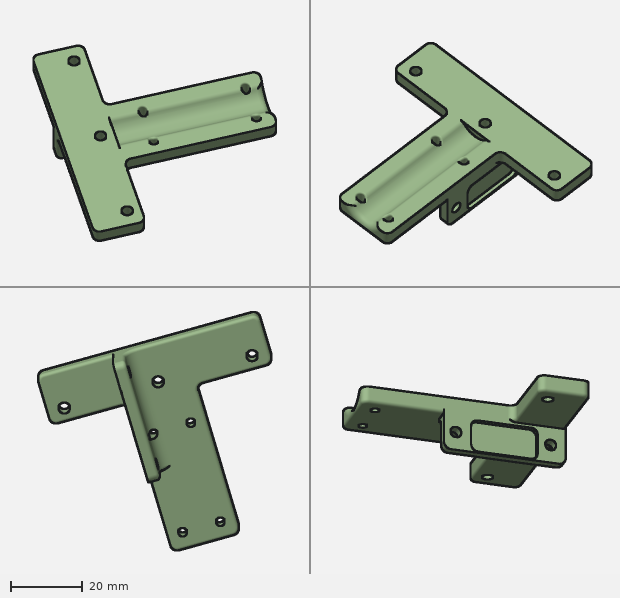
import cadquery as cq
import math

bar_length = 65.0
bar_depth = 15.0
total_depth = 60.0
stem_width = 20.0
plate_thickness = 5.0
corner_radius = 2.0
edge_round = 1.0

total_height = 16.0
flange_length = 36.0
flange_thickness = 3.5
cove_radius = 3.5
flange_left = -stem_width / 2
flange_right = flange_left + flange_thickness
flange_mid_z = -(plate_thickness + total_height) / 2

mount_hole_diameter = 3.2
bar_hole_end_distance = 5.0
bar_hole_x = bar_length / 2 - bar_hole_end_distance
bar_hole_y = 11.0
flange_hole_ys = (4.5, 32.5)

clamp_hole_diameter = 2.5
clamp_hole_x = 5.5
clamp_hole_ys = (24.95, 55.0)
clamp_hole_round = 0.5

pocket_depth = 1.5
pocket_length = 19.7
pocket_height = 9.6
pocket_center_y = 18.15
pocket_center_z = -10.8

tube_radius = 6.0
channel_depth = 2.35
lip_radius = 2.0
flare_radius = 2.0
tube_axis_z = tube_radius - channel_depth

half_diagonal = math.sqrt(0.5)


def make_plate():
    """T-shaped plate with rounded corners and a rounded bottom rim."""
    half_bar = bar_length / 2
    half_stem = stem_width / 2
    outline = [
        (-half_bar, 0),
        (half_bar, 0),
        (half_bar, bar_depth),
        (half_stem, bar_depth),
        (half_stem, total_depth),
        (-half_stem, total_depth),
        (-half_stem, bar_depth),
        (-half_bar, bar_depth),
    ]
    plate = cq.Workplane("XY").polyline(outline).close().extrude(-plate_thickness)
    plate = plate.edges("|Z").fillet(corner_radius)
    return plate.faces("<Z").edges().fillet(edge_round)


def make_flange():
    """Flange with a cove into the plate; its right-hand edges are rounded along the cove too."""
    cove_end = flange_right + cove_radius
    cove_middle = (
        cove_end - cove_radius * half_diagonal,
        -plate_thickness - cove_radius * (1 - half_diagonal),
    )
    flange = (
        cq.Workplane("XZ")
        .moveTo(flange_left, 0)
        .lineTo(flange_left, -total_height)
        .lineTo(flange_right, -total_height)
        .lineTo(flange_right, -plate_thickness - cove_radius)
        .threePointArc(cove_middle, (cove_end, -plate_thickness))
        .lineTo(0, -plate_thickness)
        .lineTo(0, 0)
        .close()
        .extrude(-flange_length)
    )
    flange = flange.faces("<Z").edges("|X").fillet(corner_radius)
    right_face = cq.selectors.NearestToPointSelector((flange_right, flange_length / 2, flange_mid_z))
    return flange.faces(right_face).edges("not |Y").fillet(edge_round)


def make_channel():
    """Solid to remove for the tube: round bottom, convex lips and a flared open end."""
    center_distance = tube_radius + lip_radius
    slope = math.acos((tube_axis_z + lip_radius) / center_distance)
    lip_x = center_distance * math.sin(slope)
    lip_middle_x = lip_x - lip_radius * math.sin(slope / 2)
    lip_middle_z = lip_radius * (math.cos(slope / 2) - 1)
    tangent_x = tube_radius * math.sin(slope)
    tangent_z = tube_axis_z - tube_radius * math.cos(slope)
    groove = (
        cq.Workplane("XZ", origin=(0, bar_depth, 0))
        .moveTo(-lip_x, 0)
        .threePointArc((-lip_middle_x, lip_middle_z), (-tangent_x, tangent_z))
        .threePointArc((0, -channel_depth), (tangent_x, tangent_z))
        .threePointArc((lip_middle_x, lip_middle_z), (lip_x, 0))
        .close()
        .extrude(bar_depth - total_depth)
    )
    flare_start = total_depth - flare_radius
    flare_end_radius = tube_radius + flare_radius
    flare_middle = (
        flare_end_radius - flare_radius * half_diagonal,
        flare_start + flare_radius * half_diagonal,
    )
    flare = (
        cq.Workplane("XY", origin=(0, 0, tube_axis_z))
        .moveTo(0, flare_start)
        .lineTo(tube_radius, flare_start)
        .threePointArc(flare_middle, (flare_end_radius, total_depth))
        .lineTo(0, total_depth)
        .close()
        .revolve(360, (0, 0, 0), (0, 1, 0))
    )
    return groove.union(flare)


def drill_clamp_hole(body, x, y):
    """Hole on a channel lip with a rounded mouth, drilled through the plate and the cove."""
    drill = (
        cq.Workplane("XY", origin=(x, y, 0))
        .circle(clamp_hole_diameter / 2)
        .extrude(-plate_thickness - cove_radius)
    )
    reach = clamp_hole_diameter / 2 + clamp_hole_round
    mouth = cq.selectors.BoxSelector(
        (x - reach, y - reach, -plate_thickness / 2),
        (x + reach, y + reach, plate_thickness / 2),
        boundingbox=True,
    )
    return body.cut(drill).edges(mouth).fillet(clamp_hole_round)


def make_bar_holes():
    """Three through holes along the crossbar."""
    return (
        cq.Workplane("XY")
        .pushPoints([(x, bar_hole_y) for x in (-bar_hole_x, 0, bar_hole_x)])
        .circle(mount_hole_diameter / 2)
        .extrude(-plate_thickness)
    )


def make_flange_holes():
    """Two holes through the flange, halfway down its free height."""
    return (
        cq.Workplane("YZ", origin=(flange_left, 0, 0))
        .pushPoints([(y, flange_mid_z) for y in flange_hole_ys])
        .circle(mount_hole_diameter / 2)
        .extrude(flange_thickness + cove_radius)
    )


def make_pocket():
    """Rounded rectangular recess in the left face of the flange."""
    return (
        cq.Workplane("YZ", origin=(flange_left, pocket_center_y, pocket_center_z))
        .rect(pocket_length, pocket_height)
        .extrude(pocket_depth)
        .edges("|X")
        .fillet(corner_radius)
    )


result = make_plate().union(make_flange()).cut(make_channel())
for side in (-1, 1):
    for hole_y in clamp_hole_ys:
        result = drill_clamp_hole(result, side * clamp_hole_x, hole_y)
result = result.cut(make_bar_holes()).cut(make_flange_holes()).cut(make_pocket())